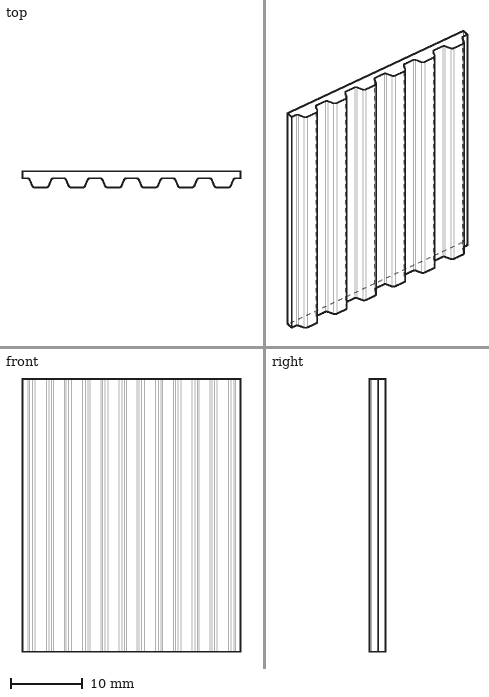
import cadquery as cq
import math

pitch = 5.08
tooth_count = 6
belt_thickness = 2.286
belt_width = 38.1

tooth_height = 1.27
tooth_root_width = 3.2
flank_angle = 23.1
root_radius = 0.265
tip_radius = 0.425

belt_length = tooth_count * pitch
flank_run = tooth_height * math.tan(math.radians(flank_angle))
root_half_width = tooth_root_width / 2
tip_half_width = root_half_width - flank_run

end_x = belt_length / 2
back_y = belt_thickness
root_y = tooth_height
tip_y = 0

tooth_centers = [(index + 0.5) * pitch - end_x for index in range(tooth_count)]


def tooth_corners(center):
    """Corners of one unrounded tooth, from -X to +X."""
    return [
        (center - root_half_width, root_y),
        (center - tip_half_width, tip_y),
        (center + tip_half_width, tip_y),
        (center + root_half_width, root_y),
    ]


def make_sharp_belt():
    """Extrude the backing and its teeth along Z, with unrounded tooth corners."""
    outline = [(-end_x, back_y), (-end_x, root_y)]
    for center in tooth_centers:
        outline += tooth_corners(center)
    outline += [(end_x, root_y), (end_x, back_y)]
    return cq.Workplane("XY").polyline(outline).close().extrude(belt_width)


def round_roots(belt):
    """Fillet the inner corners where the flanks meet the backing."""
    ledges = belt.edges("|Z").edges(cq.selectors.BoxSelector(
        (-end_x + root_radius, root_y - root_radius, 0),
        (end_x - root_radius, root_y + root_radius, belt_width),
    ))
    return ledges.fillet(root_radius)


def round_tips(belt):
    """Fillet the outer corners of the tooth tips."""
    return belt.faces("<Y").edges("|Z").fillet(tip_radius)


result = round_tips(round_roots(make_sharp_belt()))